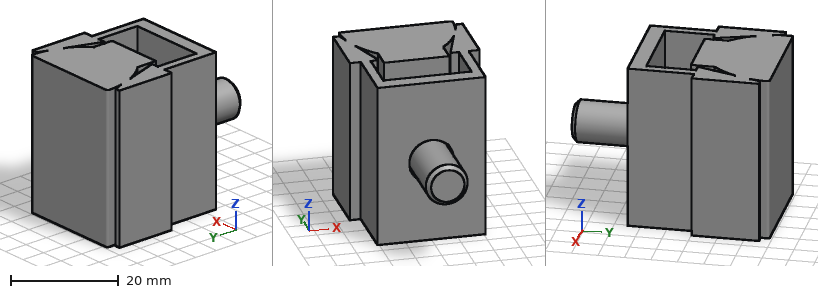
import cadquery as cq

TOTAL_LENGTH = 39.0
JAW_WIDTH = 24.8
HEIGHT = 31.7

CHANNEL_WIDTH = 20.67
WALL = 1.9
CHANNEL_FRONT = -26.95
FRONT_WALL = 3.15

JAW_BACK = -1.68
JAW_FRONT = -14.4
JAW_BACK_GAP = 22.4
JAW_LIP_GAP = 13.65
LIP_RADIUS = 0.45

WEDGE_WIDTH = 21.75
WEDGE_CORNER = 0.5
WEDGE_SIDE_RADIUS = 15.6
NOSE_WIDTH = 12.48
NOSE_BACK = -11.35
NOSE_FRONT = -15.8

BOLT_DIAMETER = 8.0
HOLE_DIAMETER = 8.5
BOLT_CHAMFER = 0.8


def extrude_full_height(outline):
    return outline.close().extrude(HEIGHT / 2, both=True)


def make_channel():
    half = CHANNEL_WIDTH / 2
    inner = half - WALL
    inner_front = CHANNEL_FRONT + FRONT_WALL
    outline = cq.Workplane("XY").polyline([
        (-half, JAW_FRONT),
        (-half, CHANNEL_FRONT),
        (half, CHANNEL_FRONT),
        (half, JAW_FRONT),
        (inner, JAW_FRONT),
        (inner, inner_front),
        (-inner, inner_front),
        (-inner, JAW_FRONT),
    ])
    channel = extrude_full_height(outline)
    hole = (
        cq.Workplane("XZ", origin=(0, inner_front, 0))
        .circle(HOLE_DIAMETER / 2)
        .extrude(FRONT_WALL)
    )
    return channel.cut(hole)


def make_jaw(side):
    """Make one jaw with a sharp lip; side is +1 or -1 along X."""
    outline = cq.Workplane("XY").polyline([
        (side * JAW_WIDTH / 2, JAW_BACK),
        (side * JAW_BACK_GAP / 2, JAW_BACK),
        (side * JAW_LIP_GAP / 2, JAW_FRONT),
        (side * JAW_WIDTH / 2, JAW_FRONT),
    ])
    return extrude_full_height(outline)


def round_left_lip(jaw):
    lip_point = (-JAW_LIP_GAP / 2, JAW_FRONT, 0)
    return jaw.edges(cq.selectors.NearestToPointSelector(lip_point)).fillet(LIP_RADIUS)


def make_wedge():
    half = WEDGE_WIDTH / 2
    nose = NOSE_WIDTH / 2
    outline = (
        cq.Workplane("XY")
        .moveTo(-half + WEDGE_CORNER, 0)
        .lineTo(half - WEDGE_CORNER, 0)
        .radiusArc((half, -WEDGE_CORNER), WEDGE_CORNER)
        .radiusArc((nose, NOSE_BACK), WEDGE_SIDE_RADIUS)
        .lineTo(nose, NOSE_FRONT)
        .lineTo(-nose, NOSE_FRONT)
        .lineTo(-nose, NOSE_BACK)
        .radiusArc((-half, -WEDGE_CORNER), WEDGE_SIDE_RADIUS)
        .radiusArc((-half + WEDGE_CORNER, 0), WEDGE_CORNER)
    )
    return extrude_full_height(outline)


def make_bolt():
    return (
        cq.Workplane("XZ", origin=(0, NOSE_FRONT, 0))
        .circle(BOLT_DIAMETER / 2)
        .extrude(TOTAL_LENGTH + NOSE_FRONT)
        .faces("<Y")
        .chamfer(BOLT_CHAMFER)
    )


left_jaw = round_left_lip(make_jaw(-1))
right_jaw = make_jaw(1)
body = make_channel().union(left_jaw).union(right_jaw)

result = body.union(make_wedge()).union(make_bolt())